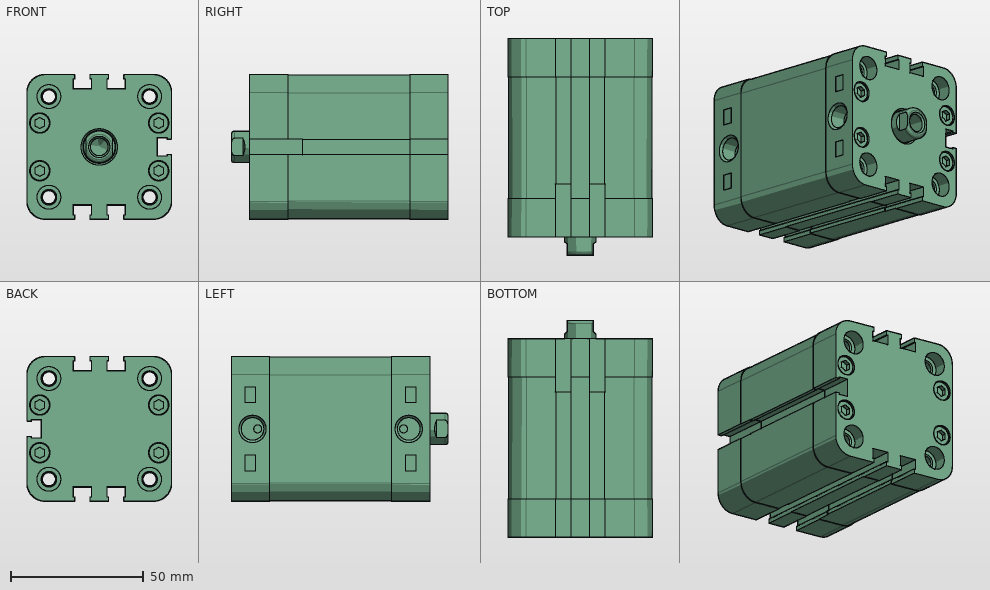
import cadquery as cq
import math


total_length = 82.0
cap_width = 54.8
rod_reach = 6.9
body_length = total_length - rod_reach
half_width = cap_width / 2

cap_length = 14.5
cap_corner_radius = 6.8
barrel_inset = 0.2
barrel_width = cap_width - 2 * barrel_inset
barrel_length = body_length - 2 * cap_length

slot_half = 3.5
slot_mouth_half = 2.95
slot_depth = 5.6
slot_lip = 1.7
slot_offset = 6.5
barrel_slot_shrink = 0.2
barrel_slot_floor_rise = 0.25
wide_slot_end = 20.1

mount_offset = 19.0
mount_bore = 4.9
mount_chamfer = 0.5
mount_counterbore = 9.0
mount_counterbore_depth = 5.3

screw_x = 22.5
screw_z = 9.0
screw_pocket = 7.7
screw_pocket_depth = 1.0
screw_head = 7.2
screw_recess = 0.5
hex_flats = 3.7
hex_depth = 1.7
hex_corners = hex_flats / math.cos(math.pi / 6)

rod_diameter = 12.0
rod_tip_radius = 1.2
rod_bearing = 12.5
rod_bearing_depth = 1.6
rod_bearing_chamfer = 0.65
rod_flats = 10.0
rod_flat_length = 4.35
rod_flat_ramp = 0.8
rod_bore = 6.65
rod_bore_depth = 13.1
rod_bore_mouth = 8.0
drill_point_angle = 118.0

port_inset = 8.0
port_diameter = 8.5
port_depth = 7.4
port_chamfer = 0.9
passage_diameter = 3.0
passage_offset = 2.0
passage_depth = 4.1

label_inset = 7.2
label_z = 12.9
label_length = 4.0
label_height = 5.9
label_depth = 0.2


def rounded_block(width, corner_radius, start, length):
    """Square block with rounded long edges, running along +Y from start."""
    block = cq.Workplane("XY").box(width, length, width)
    return block.edges("|Y").fillet(corner_radius).translate((0, start + length / 2, 0))


def cylinder(diameter, start, length):
    """Cylinder along +Y on the Y axis."""
    origin = cq.Vector(0, start, 0)
    return cq.Workplane(cq.Solid.makeCylinder(diameter / 2, length, origin, cq.Vector(0, 1, 0)))


def cone(start_diameter, end_diameter, start, length):
    """Cone along +Y on the Y axis."""
    origin = cq.Vector(0, start, 0)
    return cq.Workplane(
        cq.Solid.makeCone(start_diameter / 2, end_diameter / 2, length, origin, cq.Vector(0, 1, 0))
    )


def slot_cutter(start, end, shrink, floor_rise):
    """T-slot open to +Z, centred on X = 0."""
    wide = slot_half - shrink
    mouth = slot_mouth_half - shrink
    floor_z = half_width - slot_depth + floor_rise
    lip_z = half_width - slot_lip
    height = half_width - floor_z
    length = end - start
    middle = (start + end) / 2
    neck = cq.Workplane("XY").box(2 * mouth, length, height).translate((0, middle, floor_z + height / 2))
    groove = cq.Workplane("XY").box(2 * wide, length, lip_z - floor_z)
    return neck.union(groove.translate((0, middle, (floor_z + lip_z) / 2)))


def stepped_slot(offset):
    """Full-length slot with the barrel section narrower and shallower."""
    rear_start = body_length - cap_length
    inward = -math.copysign(barrel_slot_shrink, offset) if offset else 0.0
    front = slot_cutter(0, wide_slot_end, 0, 0).translate((offset, 0, 0))
    rear = slot_cutter(rear_start, body_length, 0, 0).translate((offset, 0, 0))
    middle = slot_cutter(wide_slot_end, rear_start, barrel_slot_shrink, barrel_slot_floor_rise)
    return front.union(rear).union(middle.translate((offset + inward, 0, 0)))


def cut_slots(body):
    """Two slots on the top, two on the bottom and one in the middle of the +X side."""
    for offset in (-slot_offset, slot_offset):
        slot = stepped_slot(offset)
        body = body.cut(slot)
        body = body.cut(slot.mirror("XY"))
    side_slot = stepped_slot(0).rotate((0, 0, 0), (0, 1, 0), 90)
    return body.cut(side_slot)


def mount_cutter():
    """Counterbore and bore entered from the front, reaching mid-length."""
    counterbore = cylinder(mount_counterbore, 0, mount_counterbore_depth)
    bore = cylinder(mount_bore, 0, body_length / 2)
    chamfer = cone(mount_bore + 2 * mount_chamfer, mount_bore, mount_counterbore_depth, mount_chamfer)
    return counterbore.union(bore).union(chamfer)


def screw_cutter():
    """Pocket around a sunk screw head, with its hexagon socket."""
    pocket = cylinder(screw_pocket, 0, screw_pocket_depth)
    head = cylinder(screw_head, screw_recess, screw_pocket_depth)
    socket = cq.Workplane("XZ").polygon(6, hex_corners).extrude(-(screw_recess + hex_depth))
    socket = socket.rotate((0, 0, 0), (0, 1, 0), 30)
    return pocket.cut(head).union(socket)


def cut_cap_fasteners(body):
    """Mounting holes and screws, the same in both caps."""
    mount = mount_cutter()
    screw = screw_cutter()
    for side_x in (-1, 1):
        for side_z in (-1, 1):
            holes = mount.translate((side_x * mount_offset, 0, side_z * mount_offset))
            screws = screw.translate((side_x * screw_x, 0, side_z * screw_z))
            for cutter in (holes, screws):
                body = body.cut(cutter)
                body = body.cut(cutter.mirror("XZ", (0, body_length / 2, 0)))
    return body


def port_cutter():
    """Chamfered port and air passage along +Y; the passage is offset towards +X."""
    port = cylinder(port_diameter, 0, port_depth)
    mouth = cone(port_diameter + 2 * port_chamfer, port_diameter, 0, port_chamfer)
    passage = cylinder(passage_diameter, 0, port_depth + passage_depth)
    return port.union(mouth).union(passage.translate((passage_offset, 0, 0)))


def cut_ports(body):
    """One port in each cap on the -X side, with its label panels."""
    front_port = port_cutter().mirror("YZ").rotate((0, 0, 0), (0, 0, 1), -90)
    cutter = front_port.translate((-half_width, port_inset, 0))
    for side_z in (-1, 1):
        panel = cq.Workplane("XY").box(2 * label_depth, label_length, label_height)
        cutter = cutter.union(panel.translate((-half_width, label_inset, side_z * label_z)))
    body = body.cut(cutter)
    return body.cut(cutter.mirror("XZ", (0, body_length / 2, 0)))


def piston_rod():
    """Rod end with a rounded tip and two wrench flats."""
    rod = cylinder(rod_diameter, -rod_reach, rod_reach + rod_bearing_depth)
    rod = rod.faces("<Y").edges().fillet(rod_tip_radius)

    flat_end = rod_flat_length - rod_reach
    for side in (-1, 1):
        flat = (
            cq.Workplane("XY")
            .polyline([
                (side * rod_flats / 2, -rod_reach),
                (side * rod_flats / 2, flat_end),
                (side * rod_diameter / 2, flat_end + rod_flat_ramp),
                (side * rod_diameter / 2, -rod_reach),
            ])
            .close()
            .extrude(rod_diameter / 2, both=True)
        )
        rod = rod.cut(flat)
    return rod


def rod_bore_cutter():
    """Blind bore with a chamfered mouth and a drill point."""
    point_length = rod_bore / 2 / math.tan(math.radians(drill_point_angle / 2))
    mouth_depth = (rod_bore_mouth - rod_bore) / 2
    bore = cylinder(rod_bore, -rod_reach, rod_bore_depth)
    point = cone(rod_bore, 0, rod_bore_depth - rod_reach, point_length)
    mouth = cone(rod_bore_mouth, rod_bore, -rod_reach, mouth_depth)
    return bore.union(point).union(mouth)


def add_rod(body):
    """Open the chamfered bearing in the front cap and place the rod inside it."""
    bearing_mouth = rod_bearing + 2 * rod_bearing_chamfer
    body = body.cut(cylinder(rod_bearing, 0, rod_bearing_depth))
    body = body.cut(cone(bearing_mouth, rod_bearing, 0, rod_bearing_chamfer))
    body = body.union(piston_rod())
    return body.cut(rod_bore_cutter())


front_cap = rounded_block(cap_width, cap_corner_radius, 0, cap_length)
barrel = rounded_block(barrel_width, cap_corner_radius, cap_length, barrel_length)
rear_cap = rounded_block(cap_width, cap_corner_radius, body_length - cap_length, cap_length)

body = front_cap.union(barrel).union(rear_cap)
body = cut_slots(body)
body = cut_cap_fasteners(body)
body = cut_ports(body)
result = add_rod(body)